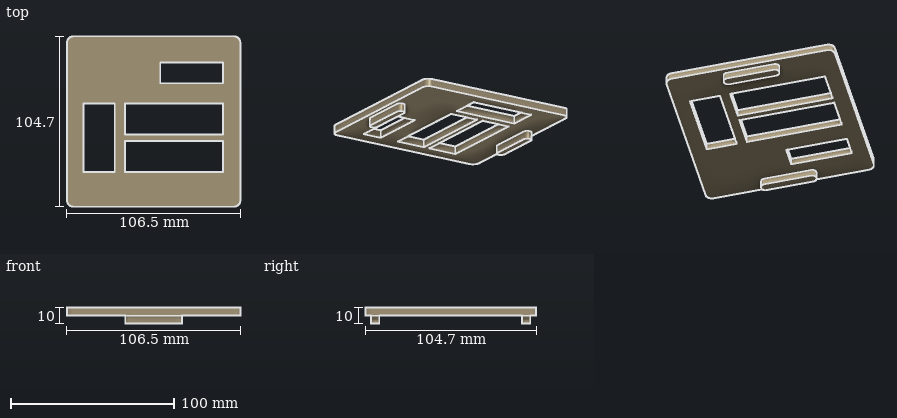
import cadquery as cq

plate_length = 106.5
plate_width = 104.7
plate_thickness = 5.0
corner_radius = 4.2

rail_length = 35.0
rail_width = 5.2
rail_height = 5.0
rail_edge_gap = 3.4

module_length = 60.0
module_width = 19.0
module_gap = 4.0
side_window_width = 19.0
side_window_gap = 6.5
small_window_length = 38.3
small_window_width = 12.5
small_window_gap = 12.6
window_left_margin = 10.3
window_front_margin = 21.4

side_window_left = -plate_length / 2 + window_left_margin
window_front = -plate_width / 2 + window_front_margin
side_window_length = 2 * module_width + module_gap
module_left = side_window_left + side_window_width + side_window_gap
module_right = module_left + module_length
small_window_left = module_right - small_window_length
small_window_front = window_front + side_window_length + small_window_gap


def window(left, front, length, width):
    """Cutter through the full plate thickness, placed by its left front corner."""
    return cq.Workplane("XY").box(length, width, plate_thickness, centered=False).translate((left, front, 0))


plate = (
    cq.Workplane("XY")
    .box(plate_length, plate_width, plate_thickness, centered=(True, True, False))
    .edges("|Z")
    .fillet(corner_radius)
)

plate = plate.cut(window(side_window_left, window_front, side_window_width, side_window_length))
for row in range(2):
    row_front = window_front + row * (module_width + module_gap)
    plate = plate.cut(window(module_left, row_front, module_length, module_width))
plate = plate.cut(window(small_window_left, small_window_front, small_window_length, small_window_width))

rail_offset = plate_width / 2 - rail_edge_gap - rail_width / 2
rails = (
    cq.Workplane("XY")
    .pushPoints([(0, -rail_offset), (0, rail_offset)])
    .slot2D(rail_length, rail_width)
    .extrude(-rail_height)
)

result = plate.union(rails)